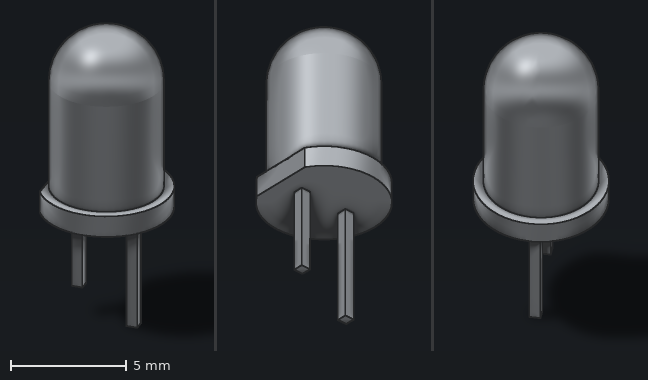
import cadquery as cq

lens_diameter = 5.0
lens_radius = lens_diameter / 2
head_height = 8.6
dome_base_height = head_height - lens_radius

flange_diameter = 5.9
flange_radius = flange_diameter / 2
flange_height = 1.0

lead_width = 0.5
lead_pitch = 2.54
short_lead_length = 4.0
long_lead_length = 5.5


def make_lens():
    """Revolve the half profile of the domed lens about Z."""
    diagonal = lens_radius * 0.5 ** 0.5
    return (
        cq.Workplane("XZ")
        .lineTo(lens_radius, 0)
        .lineTo(lens_radius, dome_base_height)
        .threePointArc((diagonal, dome_base_height + diagonal), (0, head_height))
        .close()
        .revolve(360, (0, 0, 0), (0, 1, 0))
    )


def make_flange():
    """Round flange trimmed flat at the lens radius."""
    disc = cq.Workplane("XY").circle(flange_radius).extrude(flange_height)
    keep_width = lens_radius + flange_radius
    keep_box = (
        cq.Workplane("XY")
        .center(keep_width / 2 - lens_radius, 0)
        .rect(keep_width, flange_diameter)
        .extrude(flange_height)
    )
    return disc.intersect(keep_box)


def make_lead(x_position, length):
    """Square lead hanging from the underside of the flange."""
    return cq.Workplane("XY").center(x_position, 0).rect(lead_width, lead_width).extrude(-length)


result = make_flange().union(make_lens())
for x_position, length in (
    (-lead_pitch / 2, short_lead_length),
    (lead_pitch / 2, long_lead_length),
):
    result = result.union(make_lead(x_position, length))